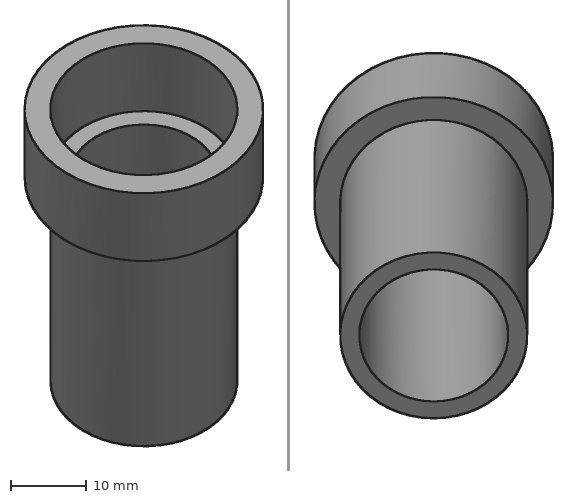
import cadquery as cq

total_height = 50.8
collar_diameter = 31.75
collar_height = 12.7
tube_diameter = 24.9
bore_diameter = 19.8

tube_height = total_height - collar_height


def make_ring(outer_diameter, inner_diameter, height, base_z):
    """Plain upright ring centred on the Z axis."""
    return (
        cq.Workplane("XY")
        .workplane(offset=base_z)
        .circle(outer_diameter / 2)
        .circle(inner_diameter / 2)
        .extrude(height)
    )


def make_tube():
    """Straight tube with a through bore."""
    return make_ring(tube_diameter, bore_diameter, tube_height, 0)


def make_collar():
    """Collar above the tube, as wide inside as the tube is outside."""
    return make_ring(collar_diameter, tube_diameter, collar_height, tube_height)


tube = make_tube()
collar = make_collar()

result = cq.Compound.makeCompound([tube.val(), collar.val()])